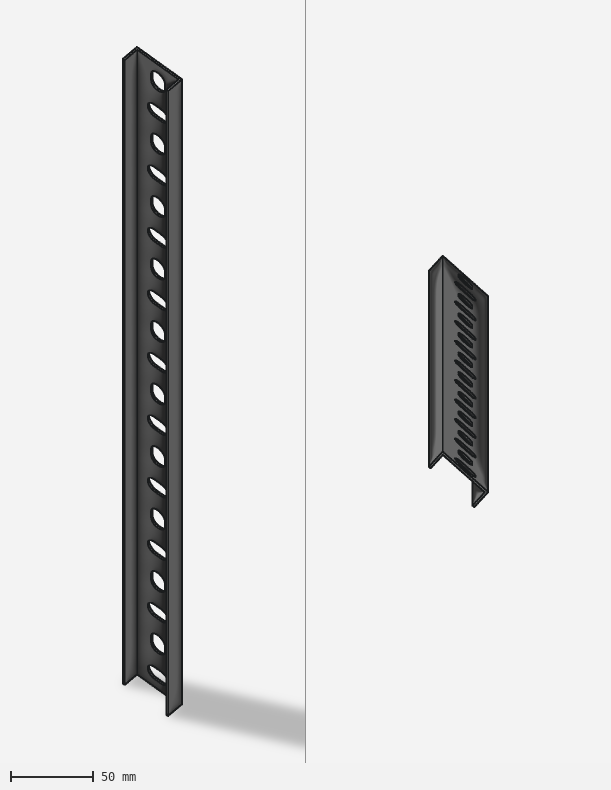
import cadquery as cq

length = 600.0
width = 37.0
depth = 12.5

thickness = 1.5

slot_count = 20
slot_length = 17.0
slot_width = 11.5
slot_pitch = length / slot_count
slot_shift = 1.5


def square_channel():
    """U-channel standing along Z, with its web at +Y and open toward -Y."""
    outer = cq.Workplane("XY").box(width, depth, length)
    inner = (
        cq.Workplane("XY")
        .box(width - 2 * thickness, depth, length)
        .translate((0, -thickness, 0))
    )
    return outer.cut(inner)


def slot_cutters(first_index, angle):
    """Every second slot, starting at first_index from the bottom end."""
    centres = [
        (0, -length / 2 + (index + 0.5) * slot_pitch - slot_shift)
        for index in range(first_index, slot_count, 2)
    ]
    return (
        cq.Workplane("XZ")
        .pushPoints(centres)
        .slot2D(slot_length, slot_width, angle)
        .extrude(depth, both=True)
    )


crosswise_slots = slot_cutters(first_index=0, angle=0)
upright_slots = slot_cutters(first_index=1, angle=90)

result = square_channel().cut(crosswise_slots).cut(upright_slots)